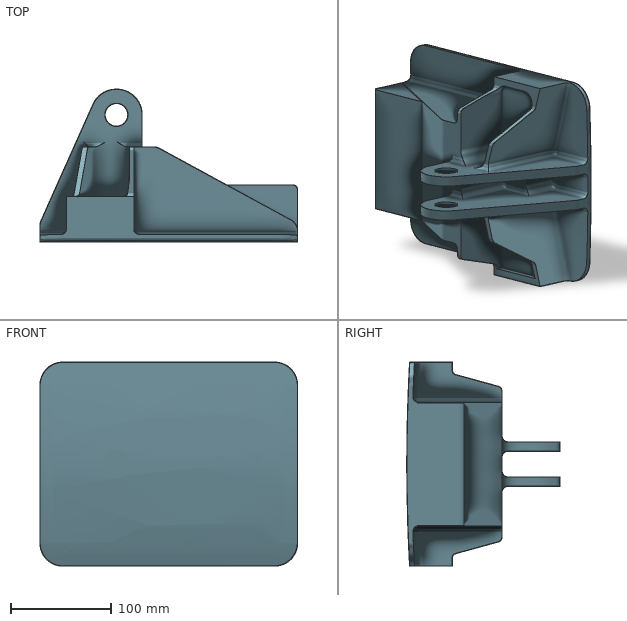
import cadquery as cq
import math

PLATE_LENGTH = 256.5
PLATE_HEIGHT = 203.2
PLATE_THICKNESS = 5.0
PLATE_BOW = 2.8
PLATE_CORNER_RADIUS = 23.0
RIM_ROUNDING = 0.8
PAD_INSET = 12.5

ROOT_LEVEL = 3.8
FLOOR_LEVEL = 38.7
BLOCK_LEVEL = 45.5
TAIL_LEVEL = 57.0
BODY_LEVEL = 95.0

LUG_GAP = 25.5
LUG_THICKNESS = 9.5
EYE_X = -52.0
EYE_Y = 126.7
EYE_OUTER_RADIUS = 25.7
EYE_HOLE_RADIUS = 11.3
BUSH_RADIUS = 16.2
LUG_TOE_LEVEL = 19.0
LUG_TOE_ROUNDING = 12.8

BODY_HALF_WIDTH = 61.5
BODY_SLOPE_X = -12.0
BODY_TOE_LEVEL = 18.5
BODY_ROUNDING = 12.8
TAIL_START_X = 25.7
TAIL_HALF_WIDTH = 61.0
TAIL_ROUNDING = 4.5

BLOCK_LEFT_X = -101.8
BLOCK_LEAN = 0.31
RIGHT_RIB_X = -39.3
BLOCK_RIGHT_X = -34.6
LEFT_RIB_THICKNESS = 5.5
LEFT_RIB_BASE_Z = 78.8
LEFT_RIB_TOP_Z = 50.3
RIGHT_RIB_BASE_Z = 90.0
RIGHT_RIB_TOP_Z = 76.5
RIB_ROUNDING = 5.1
POCKET_END_Z = 94.7
POCKET_CORNER_RADIUS = 11.5

FOOT_FILLET = 5.6
SIDE_FILLET = 6.2
POCKET_FILLET = 13.3
GAP_FILLET = 9.2
FLOOR_FILLET = 4.4

INLAY_DEPTH = 1.3
CENTRE_DISC_RADIUS = 14.0
FIXING_RADIUS = 5.0
FIXING_MID_X = 22.0
FIXING_PITCH_X = 80.3
FIXING_PITCH_Z = 82.5
DOT_COLUMNS = (-20.3, 10.3, 49.3, 87.0)
DOT_ROWS = (
    (50.0, (5.0, 4.4, 1.3, 4.5)),
    (2.3, (4.0, 5.0, 5.6, 6.5)),
    (-62.0, (0.8, 1.5, 2.5, 3.3)),
)

HALF_LENGTH = PLATE_LENGTH / 2
HALF_HEIGHT = PLATE_HEIGHT / 2
LUG_INNER_Z = LUG_GAP / 2
LUG_OUTER_Z = LUG_INNER_Z + LUG_THICKNESS
BLOCK_LEFT_MID_X = BLOCK_LEFT_X + BLOCK_LEAN * HALF_HEIGHT


def extrude_z(outline, z_start, z_end):
    """Extrude an outline drawn in the XY plane between two Z positions."""
    return outline.extrude(z_end - z_start).translate((0, 0, z_start))


def extrude_y(outline, y_start, y_end):
    """Extrude an outline drawn on the turned XZ plane between two Y levels."""
    return outline.extrude(-(y_end - y_start)).translate((0, y_start, 0))


def mirrored(solid):
    return solid.union(solid.mirror("XY"))


def bow_at(z):
    """Setback of the bowed plate surfaces from their crown at a height z."""
    bow_radius = (HALF_HEIGHT ** 2 + PLATE_BOW ** 2) / (2 * PLATE_BOW)
    return bow_radius - math.sqrt(bow_radius ** 2 - z ** 2)


def bowed_slab(front, back):
    """Full-size slab whose front and back arcs share the plate bow."""
    return (
        cq.Workplane("YZ")
        .moveTo(front + PLATE_BOW, -HALF_HEIGHT)
        .threePointArc((front, 0), (front + PLATE_BOW, HALF_HEIGHT))
        .lineTo(back + PLATE_BOW, HALF_HEIGHT)
        .threePointArc((back, 0), (back + PLATE_BOW, -HALF_HEIGHT))
        .close()
        .extrude(HALF_LENGTH, both=True)
    )


def face_plate():
    plate = bowed_slab(0, PLATE_THICKNESS).edges("|Y").fillet(PLATE_CORNER_RADIUS)
    return plate.faces("<Y").edges().fillet(RIM_ROUNDING)


def lug():
    """Upper lug: a straight right edge, a round eye and a left edge slanted tangent to the eye."""
    toe_to_eye_x = EYE_X + HALF_LENGTH
    toe_to_eye_y = EYE_Y - LUG_TOE_LEVEL
    toe_distance = math.hypot(toe_to_eye_x, toe_to_eye_y)
    slant_angle = math.atan2(toe_to_eye_y, toe_to_eye_x) + math.asin(EYE_OUTER_RADIUS / toe_distance)
    tangent_angle = slant_angle + math.pi / 2
    tangent_point = (
        EYE_X + EYE_OUTER_RADIUS * math.cos(tangent_angle),
        EYE_Y + EYE_OUTER_RADIUS * math.sin(tangent_angle),
    )
    right_x = EYE_X + EYE_OUTER_RADIUS
    outline = (
        cq.Workplane("XY")
        .moveTo(-HALF_LENGTH, ROOT_LEVEL)
        .lineTo(right_x, ROOT_LEVEL)
        .lineTo(right_x, EYE_Y)
        .threePointArc((EYE_X, EYE_Y + EYE_OUTER_RADIUS), tangent_point)
        .lineTo(-HALF_LENGTH, LUG_TOE_LEVEL)
        .close()
    )
    plate = extrude_z(outline, LUG_INNER_Z, LUG_OUTER_Z)
    toe = cq.selectors.NearestToPointSelector((-HALF_LENGTH, LUG_TOE_LEVEL, LUG_INNER_Z + LUG_THICKNESS / 2))
    return plate.edges(toe).fillet(LUG_TOE_ROUNDING)


def tapered_body():
    outline = cq.Workplane("XY").polyline([
        (RIGHT_RIB_X, ROOT_LEVEL),
        (HALF_LENGTH, ROOT_LEVEL),
        (HALF_LENGTH, BODY_TOE_LEVEL),
        (BODY_SLOPE_X, BODY_LEVEL),
        (RIGHT_RIB_X, BODY_LEVEL),
    ]).close()
    body = extrude_z(outline, -BODY_HALF_WIDTH, BODY_HALF_WIDTH)
    for x, y in [(HALF_LENGTH, BODY_TOE_LEVEL), (BODY_SLOPE_X, BODY_LEVEL)]:
        corner = cq.selectors.NearestToPointSelector((x, y, 0))
        body = body.edges(corner).fillet(BODY_ROUNDING)
    return body


def tail_block():
    outline = cq.Workplane("XY").moveTo(TAIL_START_X, ROOT_LEVEL)
    outline = outline.lineTo(HALF_LENGTH, ROOT_LEVEL).lineTo(HALF_LENGTH, TAIL_LEVEL)
    outline = outline.lineTo(TAIL_START_X, TAIL_LEVEL).close()
    tail = extrude_z(outline, -TAIL_HALF_WIDTH, TAIL_HALF_WIDTH)
    return tail.edges("|Z and >X and >Y").fillet(TAIL_ROUNDING)


def leaning_slab(right_mid_x, right_edge_x, z_start, y_end):
    """Slab in the upper half whose left side follows the leaning block side."""
    left_start_x = BLOCK_LEFT_MID_X - BLOCK_LEAN * z_start
    outline = cq.Workplane("XZ").polyline([
        (left_start_x, z_start),
        (right_mid_x, z_start),
        (right_edge_x, HALF_HEIGHT),
        (BLOCK_LEFT_X, HALF_HEIGHT),
    ]).close()
    return extrude_y(outline, ROOT_LEVEL, y_end)


def pocket_cutter():
    """Upper space between the ribs, above the pocket floor, sharp at the lug."""
    left_start_x = BLOCK_LEFT_MID_X - BLOCK_LEAN * LUG_OUTER_Z + LEFT_RIB_THICKNESS
    left_end_x = BLOCK_LEFT_MID_X - BLOCK_LEAN * POCKET_END_Z + LEFT_RIB_THICKNESS
    outline = cq.Workplane("XZ").polyline([
        (left_start_x, LUG_OUTER_Z),
        (RIGHT_RIB_X, LUG_OUTER_Z),
        (RIGHT_RIB_X, POCKET_END_Z),
        (left_end_x, POCKET_END_Z),
    ]).close()
    return extrude_y(outline, FLOOR_LEVEL, BODY_LEVEL)


def rounded_pocket_cutter():
    cutter = pocket_cutter()
    outer_corners = cq.selectors.BoxSelector(
        (-HALF_LENGTH, FLOOR_LEVEL, BODY_HALF_WIDTH), (0, BODY_LEVEL, HALF_HEIGHT)
    )
    return cutter.edges("|Y").edges(outer_corners).fillet(POCKET_CORNER_RADIUS)


def cross_block():
    upper = leaning_slab(BLOCK_RIGHT_X, BLOCK_RIGHT_X, LUG_INNER_Z, BLOCK_LEVEL)
    left_x = BLOCK_LEFT_MID_X - BLOCK_LEAN * LUG_INNER_Z
    bridge = cq.Workplane("XY").box(
        RIGHT_RIB_X - left_x, FLOOR_LEVEL - ROOT_LEVEL, 2 * LUG_INNER_Z, centered=(False, False, True)
    ).translate((left_x, ROOT_LEVEL, 0))
    return mirrored(upper).union(bridge)


def rib_profile(base_z, top_z):
    """Side profile of an upper rib, narrowing from the block to the body level."""
    z_per_y = (base_z - top_z) / (BODY_LEVEL - BLOCK_LEVEL)
    root_z = base_z + z_per_y * (BLOCK_LEVEL - FLOOR_LEVEL)
    profile = cq.Workplane("YZ").polyline([
        (FLOOR_LEVEL, LUG_INNER_Z),
        (BODY_LEVEL, LUG_INNER_Z),
        (BODY_LEVEL, top_z),
        (FLOOR_LEVEL, root_z),
    ]).close().extrude(HALF_LENGTH, both=True)
    corner = cq.selectors.NearestToPointSelector((0, BODY_LEVEL, top_z))
    return profile.edges(corner).fillet(RIB_ROUNDING)


def ribs():
    """Leaning left ribs and upright right ribs; the right ones leave stock for the pocket corners."""
    left_mid_x = BLOCK_LEFT_MID_X - BLOCK_LEAN * LUG_INNER_Z
    left = leaning_slab(
        left_mid_x + LEFT_RIB_THICKNESS, BLOCK_LEFT_X + LEFT_RIB_THICKNESS, LUG_INNER_Z, BODY_LEVEL
    ).intersect(rib_profile(LEFT_RIB_BASE_Z, LEFT_RIB_TOP_Z))
    right = cq.Workplane("XY").box(
        BLOCK_RIGHT_X - RIGHT_RIB_X + POCKET_CORNER_RADIUS, BODY_LEVEL, HALF_HEIGHT, centered=False
    ).translate((RIGHT_RIB_X - POCKET_CORNER_RADIUS, 0, 0))
    right = right.intersect(rib_profile(RIGHT_RIB_BASE_Z, RIGHT_RIB_TOP_Z))
    return mirrored(left).union(mirrored(right))


def block_with_ribs():
    """Block and ribs around two pockets; only the upper pocket has round outer corners."""
    lower_cutter = pocket_cutter().mirror("XY")
    return cross_block().union(ribs()).cut(rounded_pocket_cutter()).cut(lower_cutter)


def blend(part, radius, points):
    """Fillet the edges through the given points and through their mirror images below Z = 0."""
    edges = []
    for x, y, z in points:
        for side in ((1, -1) if z else (1,)):
            vertex = cq.Vertex.makeVertex(x, y, side * z)
            edges.append(min(part.edges().vals(), key=lambda edge: edge.distance(vertex)))
    return part.newObject(edges).fillet(radius)


def blend_structure(part):
    pocket_y = (BLOCK_LEVEL + BODY_LEVEL) / 2
    block_y = BLOCK_LEVEL / 2
    left_outer_x = BLOCK_LEFT_MID_X - BLOCK_LEAN * LUG_OUTER_Z
    left_inner_x = left_outer_x + LEFT_RIB_THICKNESS
    gap_left_x = BLOCK_LEFT_MID_X - BLOCK_LEAN * LUG_INNER_Z
    right_rib_mid_x = (RIGHT_RIB_X + BLOCK_RIGHT_X) / 2
    left_rib_base_x = BLOCK_LEFT_MID_X - BLOCK_LEAN * LEFT_RIB_BASE_Z + LEFT_RIB_THICKNESS / 2
    lug_foot_x = (left_outer_x - HALF_LENGTH) / 2
    lug_end_mid_x = (BLOCK_RIGHT_X + EYE_X + EYE_OUTER_RADIUS) / 2
    outer_root_y = PLATE_THICKNESS + bow_at(LUG_OUTER_Z)
    inner_root_y = PLATE_THICKNESS + bow_at(LUG_INNER_Z)
    body_root_y = PLATE_THICKNESS + bow_at(BODY_HALF_WIDTH)

    part = blend(part, GAP_FILLET, [(gap_left_x, block_y, LUG_INNER_Z), (RIGHT_RIB_X, pocket_y, LUG_INNER_Z)])
    part = blend(part, FLOOR_FILLET, [(RIGHT_RIB_X, FLOOR_LEVEL, 0)])
    part = blend(part, POCKET_FILLET, [
        (left_inner_x, pocket_y, LUG_OUTER_Z),
        (RIGHT_RIB_X, pocket_y, LUG_OUTER_Z),
    ])
    part = blend(part, FLOOR_FILLET, [
        (right_rib_mid_x, BLOCK_LEVEL, RIGHT_RIB_BASE_Z),
        (left_rib_base_x, BLOCK_LEVEL, LEFT_RIB_BASE_Z),
    ])
    part = blend(part, SIDE_FILLET, [
        (left_outer_x, pocket_y, LUG_OUTER_Z),
        (BLOCK_RIGHT_X, pocket_y, BODY_HALF_WIDTH),
    ])
    part = blend(part, FOOT_FILLET, [(lug_foot_x, outer_root_y, LUG_OUTER_Z)])
    part = blend(part, FOOT_FILLET, [(0, body_root_y, BODY_HALF_WIDTH)])
    part = blend(part, FOOT_FILLET, [(lug_foot_x, inner_root_y, LUG_INNER_Z)])
    part = blend(part, FOOT_FILLET, [(lug_end_mid_x, BODY_LEVEL, LUG_OUTER_Z)])
    part = blend(part, FOOT_FILLET, [((left_outer_x + left_inner_x) / 2, BODY_LEVEL, LUG_OUTER_Z)])
    return blend(part, FOOT_FILLET, [(lug_end_mid_x, BODY_LEVEL, LUG_INNER_Z)])


def round_bar(radius, x, z):
    """Bar along Y long enough to cross the whole face plate."""
    return extrude_y(cq.Workplane("XZ").center(x, z).circle(radius), 0, 2 * PLATE_THICKNESS)


def face_inlays():
    """Flush inlays of the front face: the pad, the centre disc, the fixing discs and the dots."""
    skin = bowed_slab(0, INLAY_DEPTH)
    pad = cq.Workplane("XZ").rect(PLATE_LENGTH - 2 * PAD_INSET, PLATE_HEIGHT - 2 * PAD_INSET)
    pad = extrude_y(pad, 0, 2 * PLATE_THICKNESS).edges("|Y").fillet(PLATE_CORNER_RADIUS - PAD_INSET)
    discs = [round_bar(CENTRE_DISC_RADIUS, EYE_X, 0)]
    for column in (-1, 0, 1):
        for row in (-1, 0, 1):
            if (column, row) != (-1, 0):
                x = FIXING_MID_X + column * FIXING_PITCH_X
                discs.append(round_bar(FIXING_RADIUS, x, row * FIXING_PITCH_Z))
    for z, radii in DOT_ROWS:
        for x, radius in zip(DOT_COLUMNS, radii):
            discs.append(round_bar(radius, x, z))
    return [skin.intersect(shape) for shape in [pad] + discs]


def eye_cylinder(radius):
    circle = cq.Workplane("XY").center(EYE_X, EYE_Y).circle(radius)
    return mirrored(extrude_z(circle, LUG_INNER_Z, LUG_OUTER_Z))


structure = (
    face_plate().union(mirrored(lug())).union(tapered_body()).union(tail_block())
    .union(block_with_ribs())
)
result = blend_structure(structure)

for inlay in face_inlays() + [eye_cylinder(BUSH_RADIUS)]:
    result = result.union(inlay, clean=False)
result = result.cut(eye_cylinder(EYE_HOLE_RADIUS), clean=False)